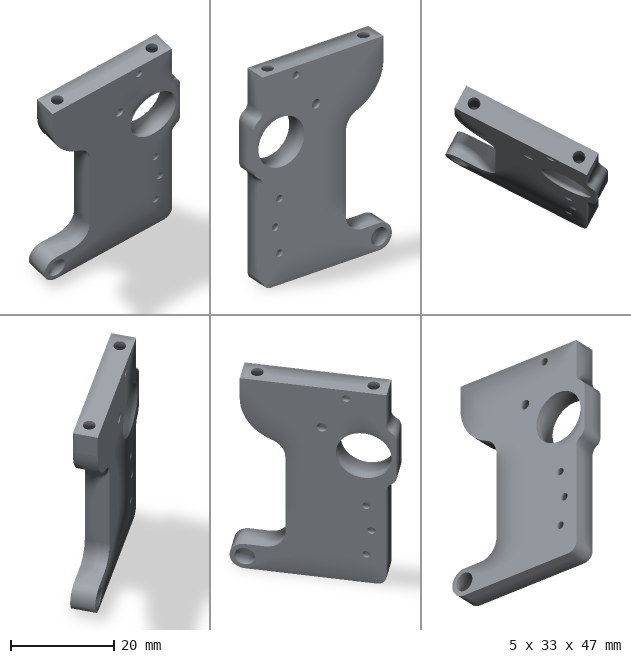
import cadquery as cq
import math

THICKNESS = 5.0
HEIGHT = 47.0
WEB_WIDTH = 20.0
HEAD_WIDTH = 29.0
BASE_CORNER_RADIUS = 2.0

ARM_LENGTH = 31.0
ARM_RADIUS = 3.0
ARM_HOLE_DIAMETER = 4.0
INNER_FILLET_RADIUS = 4.0

HEAD_RADIUS = 10.0
HEAD_ROUND_Z = 41.95

BORE_DIAMETER = 11.0
BORE_WALL = 1.0
BORE_Y = -4.5
BORE_Z = 31.38
BULGE_FLAT_HEIGHT = 9.1
BULGE_RADIUS = 2.0

SMALL_HOLE_DIAMETER = 1.57
SMALL_HOLE_POINTS = [(-4.0, 7.0), (-4.0, 19.0), (-8.0, 45.0)]
MIDDLE_HOLE_DIAMETER = 1.6
MIDDLE_HOLE_POINT = (-3.0, 13.0)
GUIDE_HOLE_DIAMETER = 2.0
GUIDE_HOLE_POINT = (-12.8, 37.15)

TAP_DIAMETER = 2.46
TAP_DEPTH = 8.0
TAP_POINT_ANGLE = 118.0
TAP_Y_POSITIONS = [-3.0, -26.0]


def arc_point(center, radius, degrees):
    """Point on a circle in the YZ plane, angle measured from +Y toward +Z."""
    angle = math.radians(degrees)
    return (center[0] + radius * math.cos(angle), center[1] + radius * math.sin(angle))


def draw_arc(outline, center, radius, start, end):
    """Continue the outline along an arc between two angles in degrees."""
    middle = arc_point(center, radius, (start + end) / 2)
    return outline.threePointArc(middle, arc_point(center, radius, end))


def add_foot(outline):
    """Base edge, rounded arm end, arm top and the fillet up to the web, from the base corner."""
    arm_center = (ARM_RADIUS - ARM_LENGTH, ARM_RADIUS)
    fillet_center = (-WEB_WIDTH - INNER_FILLET_RADIUS, 2 * ARM_RADIUS + INNER_FILLET_RADIUS)
    outline = outline.lineTo(arm_center[0], 0)
    outline = draw_arc(outline, arm_center, ARM_RADIUS, 270, 90)
    outline = outline.lineTo(fillet_center[0], 2 * ARM_RADIUS)
    return draw_arc(outline, fillet_center, INNER_FILLET_RADIUS, -90, 0)


def add_head(outline):
    """Web edge, fillet tangent to the large head round, the round itself and the top edge."""
    round_center = (HEAD_RADIUS - HEAD_WIDTH, HEAD_ROUND_Z)
    center_distance = HEAD_RADIUS + INNER_FILLET_RADIUS
    fillet_y = -WEB_WIDTH - INNER_FILLET_RADIUS
    offset_y = round_center[0] - fillet_y
    offset_z = math.sqrt(center_distance**2 - offset_y**2)
    fillet_center = (fillet_y, HEAD_ROUND_Z - offset_z)
    tangent_angle = math.degrees(math.atan2(offset_z, offset_y))
    outline = outline.lineTo(-WEB_WIDTH, fillet_center[1])
    outline = draw_arc(outline, fillet_center, INNER_FILLET_RADIUS, 0, tangent_angle)
    outline = draw_arc(outline, round_center, HEAD_RADIUS, tangent_angle + 180, 180)
    return outline.lineTo(-HEAD_WIDTH, HEIGHT).lineTo(0, HEIGHT)


def add_bulge(outline):
    """Bulge beside the bore: an S-curve of two equal arcs at each end of a flat."""
    bulge_y = BORE_Y + BORE_DIAMETER / 2 + BORE_WALL
    turn = math.degrees(math.acos(1 - bulge_y / (2 * BULGE_RADIUS)))
    curve_height = 2 * BULGE_RADIUS * math.sin(math.radians(turn))
    half_flat = BULGE_FLAT_HEIGHT / 2
    half_height = half_flat + curve_height
    crown_y = bulge_y - BULGE_RADIUS
    outline = outline.lineTo(0, BORE_Z + half_height)
    outline = draw_arc(outline, (BULGE_RADIUS, BORE_Z + half_height), BULGE_RADIUS, 180, 180 + turn)
    outline = draw_arc(outline, (crown_y, BORE_Z + half_flat), BULGE_RADIUS, turn, 0)
    outline = outline.lineTo(bulge_y, BORE_Z - half_flat)
    outline = draw_arc(outline, (crown_y, BORE_Z - half_flat), BULGE_RADIUS, 0, -turn)
    return draw_arc(outline, (BULGE_RADIUS, BORE_Z - half_height), BULGE_RADIUS, 180 - turn, 180)


def make_plate():
    """Extrude the closed outline through the thickness."""
    corner_center = (-BASE_CORNER_RADIUS, BASE_CORNER_RADIUS)
    outline = cq.Workplane("YZ").moveTo(-BASE_CORNER_RADIUS, 0)
    outline = add_foot(outline)
    outline = add_head(outline)
    outline = add_bulge(outline)
    outline = outline.lineTo(0, BASE_CORNER_RADIUS)
    outline = draw_arc(outline, corner_center, BASE_CORNER_RADIUS, 0, -90)
    return outline.close().extrude(THICKNESS)


def cross_holes(points, diameter):
    """Cylinders through the full thickness at the given (Y, Z) points."""
    return cq.Workplane("YZ").pushPoints(points).circle(diameter / 2).extrude(THICKNESS)


def tap_hole(y):
    """Blind hole with a conical drill tip, going down from the top face."""
    radius = TAP_DIAMETER / 2
    tip_height = radius / math.tan(math.radians(TAP_POINT_ANGLE / 2))
    half_section = (
        cq.Workplane("XZ")
        .lineTo(radius, 0)
        .lineTo(radius, -TAP_DEPTH)
        .lineTo(0, -TAP_DEPTH - tip_height)
        .close()
    )
    drill = half_section.revolve(360, (0, 0, 0), (0, 1, 0))
    return drill.translate((THICKNESS / 2, y, HEIGHT))


result = make_plate()
result = result.cut(cross_holes([(BORE_Y, BORE_Z)], BORE_DIAMETER))
result = result.cut(cross_holes([(ARM_RADIUS - ARM_LENGTH, ARM_RADIUS)], ARM_HOLE_DIAMETER))
result = result.cut(cross_holes(SMALL_HOLE_POINTS, SMALL_HOLE_DIAMETER))
result = result.cut(cross_holes([MIDDLE_HOLE_POINT], MIDDLE_HOLE_DIAMETER))
result = result.cut(cross_holes([GUIDE_HOLE_POINT], GUIDE_HOLE_DIAMETER))
for tap_y in TAP_Y_POSITIONS:
    result = result.cut(tap_hole(tap_y))